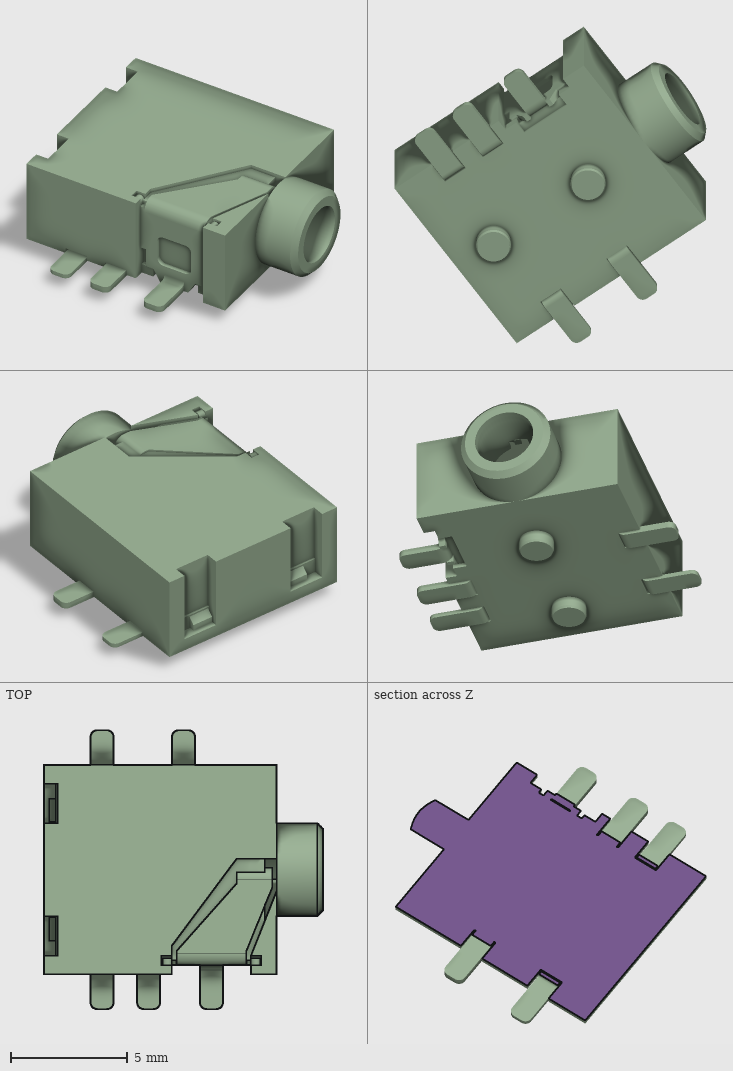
import cadquery as cq

BODY_LENGTH = 10.0
BODY_WIDTH = 9.0
BODY_HEIGHT = 4.0
TOTAL_LENGTH = 12.0
TOTAL_WIDTH = 12.0
BARREL_DIAMETER = 4.0
BARREL_CHAMFER = 0.25
BORE_DIAMETER = 2.6
BORE_END_X = 9.5
AXIS_Z = BODY_HEIGHT / 2
SIDE_Y = BODY_WIDTH / 2

PEG_DIAMETER = 1.5
PEG_LENGTH = 0.55
PEG_X = (2.0, 7.0)
PEG_CHAMFER_HEIGHT = 0.1
PEG_CHAMFER_INSET = 0.05

WINDOW_DEPTH = 0.6
WINDOW_INNER_Y = 2.0
WINDOW_WIDTH = 1.7
WINDOW_SILL_Z = 0.6
LEDGE_TOP_Z = 1.3
LEDGE_FACE_X = 0.5
WEDGE_FACE_X = 0.22
WEDGE_BOTTOM_Z = 0.65
WEDGE_SHOULDER_Z = 0.93
WEDGE_TOP_Z = 1.22
WEDGE_INNER_Y = 2.05
WEDGE_WIDTH = 1.0

TAIL_WIDTH = 1.0
TAIL_TIP_RADIUS = 0.3
TAIL_BOTTOM_Z = -0.1
THIN_SHEET = 0.2
THICK_SHEET = 0.3
TAIL_INNER_BEND = 0.1
TAIL_BEND_Y = 3.83
TAIL_LEG_TOP_Z = 0.5
SLOT_CLEARANCE = 0.05
SLOT_TOP_Z = 0.25
SLOT_END_Y = 3.5
TAILS = (
    (2.0, -1, THIN_SHEET),
    (4.0, -1, THICK_SHEET),
    (2.0, 1, THIN_SHEET),
    (5.5, 1, THICK_SHEET),
)

SPRING_X = 7.2
SPRING_FACE_Y = -4.1
SPRING_BACK_Y = SPRING_FACE_Y + THICK_SHEET
SPRING_TOP_Z = 3.9
SPRING_BEND = 0.5
RECESS_WIDTH = 3.4
BEND_WIDTH = 3.0
RECESS_LEFT = SPRING_X - RECESS_WIDTH / 2
RECESS_RIGHT = SPRING_X + RECESS_WIDTH / 2
BEND_LEFT = SPRING_X - BEND_WIDTH / 2
BEND_RIGHT = SPRING_X + BEND_WIDTH / 2
BEND_START_Z = SPRING_TOP_Z - SPRING_BEND
BEND_END_Y = SPRING_FACE_Y + SPRING_BEND

POCKET_FLOOR_Z = 3.8
POCKET_BACK_Y = 0.465
POCKET_LEFT_Y = -3.27
POCKET_CORNER_X = 8.28
POCKET_MOUTH_Y = -0.93
DEEP_SHELF_Z = 3.4

TOP_SHOULDER_Y = -3.5
TOP_LEFT_CORNER = (8.28, -0.6)
TOP_RIGHT_CORNER = (9.82, -0.75)
DROP_START_Y = -0.42

SPRING_BOTTOM_Z = 0.5
SPRING_STEP_X = 5.78
SPRING_STEP_Z = 1.4
SPRING_STEP_RADIUS = 0.1
TONGUE_TOP_WIDTH = 2.1
TONGUE_BOTTOM_WIDTH = 1.4
SPRING_TAIL_BEND = 0.2

EMBOSS_WIDTH = 1.7
EMBOSS_BOTTOM_Z = 0.85
EMBOSS_HEIGHT = 1.5
EMBOSS_RADIUS = 0.3
EMBOSS_DEPTH = 0.2

EAR_SLOT_WIDTH = 0.45
EAR_SLOT_BACK_Y = -3.7
EAR_SLOT_FLOOR_Z = 3.4
EAR_WIDTH = 0.4
EAR_TOP_Z = 3.95
RELIEF_RADIUS = 0.15
RELIEF_OFFSET = 0.05
RELIEF_DEPTH = 0.2

FOOT_FACE_Y = -4.0
FOOT_TOP_Z = 0.45
FOOT_GAP_WIDTH = 2.25
TUNNEL_TOP_Z = 0.2
TUNNEL_END_Y = -3.4


def block(x0, x1, y0, y1, z0, z1):
    """Box given by its limits along each axis."""
    return cq.Workplane("XY").box(x1 - x0, y1 - y0, z1 - z0, centered=False).translate((x0, y0, z0))


def extrude_along_x(profile, x0, x1):
    """Extrude a YZ profile from x0 to x1."""
    return profile.extrude(x1 - x0).translate((x0, 0, 0))


def extrude_along_y(profile, y0, y1):
    """Extrude an XZ profile from y0 to y1."""
    return profile.extrude(-(y1 - y0)).translate((0, y0, 0))


def housing():
    """Rectangular housing with the plug barrel and the two locating pegs."""
    body = block(0, BODY_LENGTH, -SIDE_Y, SIDE_Y, 0, BODY_HEIGHT)
    barrel = (
        cq.Workplane("YZ", origin=(BORE_END_X, 0, AXIS_Z))
        .circle(BARREL_DIAMETER / 2)
        .extrude(TOTAL_LENGTH - BORE_END_X)
        .faces(">X")
        .chamfer(BARREL_CHAMFER)
    )
    body = body.union(barrel)
    radius = PEG_DIAMETER / 2
    peg_profile = (
        cq.Workplane("XZ")
        .moveTo(0, 0)
        .lineTo(radius, 0)
        .lineTo(radius, -PEG_LENGTH + PEG_CHAMFER_HEIGHT)
        .lineTo(radius - PEG_CHAMFER_INSET, -PEG_LENGTH)
        .lineTo(0, -PEG_LENGTH)
        .close()
    )
    peg = peg_profile.revolve(360, (0, 0, 0), (0, 1, 0))
    for x in PEG_X:
        body = body.union(peg.translate((x, 0, 0)))
    return body


def bore():
    """Plug bore, open at the barrel end."""
    return (
        cq.Workplane("YZ", origin=(BORE_END_X, 0, AXIS_Z))
        .circle(BORE_DIAMETER / 2)
        .extrude(TOTAL_LENGTH - BORE_END_X)
    )


def rear_window():
    """Opening in the rear wall on the -Y side, open at the top."""
    return block(0, WINDOW_DEPTH, -WINDOW_INNER_Y - WINDOW_WIDTH, -WINDOW_INNER_Y, WINDOW_SILL_Z, BODY_HEIGHT)


def rear_contact():
    """Ledge and wedge-shaped contact end inside the rear window on the -Y side."""
    ledge = block(
        LEDGE_FACE_X, WINDOW_DEPTH,
        -WINDOW_INNER_Y - WINDOW_WIDTH, -WINDOW_INNER_Y,
        WINDOW_SILL_Z, LEDGE_TOP_Z,
    )
    wedge_profile = cq.Workplane("XZ").polyline([
        (LEDGE_FACE_X, WEDGE_BOTTOM_Z),
        (WEDGE_FACE_X, WEDGE_BOTTOM_Z),
        (WEDGE_FACE_X, WEDGE_SHOULDER_Z),
        (LEDGE_FACE_X, WEDGE_TOP_Z),
    ]).close()
    return ledge.union(extrude_along_y(wedge_profile, -WEDGE_INNER_Y - WEDGE_WIDTH, -WEDGE_INNER_Y))


def bent_tail(left_x, sheet, bend_y, inner_bend, leg_top_z):
    """Solder tail on the -Y side: flat foot, bend at bend_y and a vertical leg."""
    outer_bend = inner_bend + sheet
    foot_top_z = TAIL_BOTTOM_Z + sheet
    bend_z = foot_top_z + inner_bend
    profile = (
        cq.Workplane("YZ")
        .moveTo(-TOTAL_WIDTH / 2, TAIL_BOTTOM_Z)
        .lineTo(bend_y, TAIL_BOTTOM_Z)
        .radiusArc((bend_y + outer_bend, bend_z), -outer_bend)
        .lineTo(bend_y + outer_bend, leg_top_z)
        .lineTo(bend_y + inner_bend, leg_top_z)
        .lineTo(bend_y + inner_bend, bend_z)
        .radiusArc((bend_y, foot_top_z), inner_bend)
        .lineTo(-TOTAL_WIDTH / 2, foot_top_z)
        .close()
    )
    tail = extrude_along_x(profile, left_x, left_x + TAIL_WIDTH)
    return tail.faces("<Y").edges("|Z").fillet(TAIL_TIP_RADIUS)


def tail_slot(left_x):
    """Clearance slot around a tail in the lower edge of the -Y wall."""
    return block(
        left_x - SLOT_CLEARANCE, left_x + TAIL_WIDTH + SLOT_CLEARANCE,
        -SIDE_Y, -SLOT_END_Y, 0, SLOT_TOP_Z,
    )


def on_side(shape, side):
    """Mirror a -Y side shape to the +Y side when side is positive."""
    if side > 0:
        return shape.mirror("XZ")
    return shape


def spring_recess():
    """Everything removed from the housing to make room for the side spring."""
    recess = block(RECESS_LEFT, RECESS_RIGHT, -SIDE_Y, SPRING_BACK_Y, 0, BODY_HEIGHT)
    gap_left = SPRING_X - FOOT_GAP_WIDTH / 2
    gap_right = SPRING_X + FOOT_GAP_WIDTH / 2
    for x0, x1 in ((RECESS_LEFT, gap_left), (gap_right, RECESS_RIGHT)):
        recess = recess.cut(block(x0, x1, FOOT_FACE_Y, SPRING_BACK_Y, 0, FOOT_TOP_Z))
    tunnel = block(gap_left, gap_right, SPRING_BACK_Y, TUNNEL_END_Y, 0, TUNNEL_TOP_Z)
    recess = recess.union(tunnel)
    for x0 in (RECESS_LEFT - EAR_SLOT_WIDTH, RECESS_RIGHT):
        ear_slot = block(
            x0, x0 + EAR_SLOT_WIDTH, SPRING_FACE_Y, EAR_SLOT_BACK_Y, EAR_SLOT_FLOOR_Z, BODY_HEIGHT,
        )
        recess = recess.union(ear_slot)
    return recess


def pocket_outline(floor_z):
    """Wedge-shaped pocket in the top face, cut down to floor_z."""
    outline = cq.Workplane("XY", origin=(0, 0, floor_z)).polyline([
        (RECESS_LEFT, SPRING_BACK_Y),
        (RECESS_LEFT, POCKET_LEFT_Y),
        (POCKET_CORNER_X, POCKET_BACK_Y),
        (BODY_LENGTH, POCKET_BACK_Y),
        (BODY_LENGTH, POCKET_MOUTH_Y),
        (RECESS_RIGHT, EAR_SLOT_BACK_Y),
        (RECESS_RIGHT, SPRING_BACK_Y),
    ]).close()
    return outline.extrude(BODY_HEIGHT - floor_z)


def top_pocket():
    """Shallow pocket with a deeper step near the barrel that opens into the bore."""
    deep_zone = block(
        BORE_END_X, BODY_LENGTH, -SIDE_Y, POCKET_BACK_Y, DEEP_SHELF_Z, BODY_HEIGHT,
    )
    bore_slot = block(
        BORE_END_X, BODY_LENGTH, DROP_START_Y, POCKET_BACK_Y, AXIS_Z, BODY_HEIGHT,
    )
    deep_step = pocket_outline(DEEP_SHELF_Z).intersect(deep_zone)
    return pocket_outline(POCKET_FLOOR_Z).union(deep_step).union(bore_slot)


def spring_wall():
    """Upright sheet of the spring with its lower tongue, embossed panel and upper reliefs."""
    tongue_top = TONGUE_TOP_WIDTH / 2
    tongue_bottom = TONGUE_BOTTOM_WIDTH / 2
    bend_z = TAIL_BOTTOM_Z + THICK_SHEET + SPRING_TAIL_BEND
    outline = (
        cq.Workplane("XZ")
        .moveTo(RECESS_LEFT, POCKET_FLOOR_Z)
        .lineTo(RECESS_LEFT, SPRING_STEP_Z)
        .lineTo(SPRING_STEP_X, SPRING_STEP_Z)
        .lineTo(SPRING_STEP_X, SPRING_BOTTOM_Z + SPRING_STEP_RADIUS)
        .radiusArc((SPRING_STEP_X + SPRING_STEP_RADIUS, SPRING_BOTTOM_Z), -SPRING_STEP_RADIUS)
        .lineTo(SPRING_X - tongue_top, SPRING_BOTTOM_Z)
        .lineTo(SPRING_X - tongue_bottom, TAIL_BOTTOM_Z)
        .lineTo(SPRING_X + tongue_bottom, TAIL_BOTTOM_Z)
        .lineTo(SPRING_X + tongue_top, SPRING_BOTTOM_Z)
        .lineTo(RECESS_RIGHT, SPRING_BOTTOM_Z)
        .lineTo(RECESS_RIGHT, POCKET_FLOOR_Z)
        .close()
    )
    wall = extrude_along_y(outline, SPRING_FACE_Y, SPRING_BACK_Y)

    tail_left = SPRING_X - TAIL_WIDTH / 2
    bend_zone = block(
        tail_left, tail_left + TAIL_WIDTH, SPRING_FACE_Y, SPRING_BACK_Y, TAIL_BOTTOM_Z, bend_z,
    )
    bend_y = SPRING_FACE_Y - SPRING_TAIL_BEND
    tail = bent_tail(tail_left, THICK_SHEET, bend_y, SPRING_TAIL_BEND, SPRING_BOTTOM_Z)
    wall = wall.cut(bend_zone).union(tail)

    panel = (
        block(
            SPRING_X - EMBOSS_WIDTH / 2, SPRING_X + EMBOSS_WIDTH / 2,
            SPRING_FACE_Y, SPRING_FACE_Y + EMBOSS_DEPTH,
            EMBOSS_BOTTOM_Z, EMBOSS_BOTTOM_Z + EMBOSS_HEIGHT,
        )
        .edges("|Y")
        .fillet(EMBOSS_RADIUS)
    )
    wall = wall.cut(panel)

    for relief_x in (RECESS_LEFT + RELIEF_OFFSET, RECESS_RIGHT - RELIEF_OFFSET):
        relief = cq.Workplane("XZ").center(relief_x, POCKET_FLOOR_Z - RELIEF_OFFSET).circle(RELIEF_RADIUS)
        wall = wall.cut(extrude_along_y(relief, SPRING_FACE_Y, SPRING_FACE_Y + RELIEF_DEPTH))
    return wall.cut(block(BEND_LEFT, BEND_RIGHT, SPRING_FACE_Y, SPRING_BACK_Y, BEND_START_Z, BODY_HEIGHT))


def spring_ears():
    """Round-topped ears of the spring that sit in the housing slots."""
    radius = EAR_WIDTH / 2
    ears = cq.Workplane("XY")
    for ear_x in (RECESS_LEFT - radius, RECESS_RIGHT + radius):
        profile = (
            cq.Workplane("XZ")
            .moveTo(ear_x - radius, EAR_SLOT_FLOOR_Z)
            .lineTo(ear_x + radius, EAR_SLOT_FLOOR_Z)
            .lineTo(ear_x + radius, EAR_TOP_Z - radius)
            .threePointArc((ear_x, EAR_TOP_Z), (ear_x - radius, EAR_TOP_Z - radius))
            .close()
        )
        ears = ears.union(extrude_along_y(profile, SPRING_FACE_Y, SPRING_BACK_Y))
    return ears


def spring_top():
    """Horizontal arm of the spring, rounded over at the side and dropping towards the bore."""
    drop_end_y = DROP_START_Y + SPRING_BEND
    inner_bend = SPRING_BEND - THICK_SHEET
    inner_top_z = SPRING_TOP_Z - THICK_SHEET
    profile = (
        cq.Workplane("YZ")
        .moveTo(SPRING_FACE_Y, BEND_START_Z)
        .radiusArc((BEND_END_Y, SPRING_TOP_Z), SPRING_BEND)
        .lineTo(DROP_START_Y, SPRING_TOP_Z)
        .radiusArc((drop_end_y, BEND_START_Z), SPRING_BEND)
        .lineTo(drop_end_y - THICK_SHEET, BEND_START_Z)
        .radiusArc((DROP_START_Y, inner_top_z), -inner_bend)
        .lineTo(BEND_END_Y, inner_top_z)
        .radiusArc((SPRING_BACK_Y, BEND_START_Z), -inner_bend)
        .close()
    )
    right_x, right_y = TOP_RIGHT_CORNER
    left_x, left_y = TOP_LEFT_CORNER
    arm = extrude_along_x(profile, BEND_LEFT, right_x)
    outline = cq.Workplane("XY").polyline([
        (BEND_LEFT, SPRING_FACE_Y),
        (BEND_LEFT, TOP_SHOULDER_Y),
        (left_x, left_y),
        (left_x, drop_end_y),
        (right_x, drop_end_y),
        (right_x, right_y),
        (BEND_RIGHT, TOP_SHOULDER_Y),
        (BEND_RIGHT, SPRING_FACE_Y),
    ]).close()
    return arm.intersect(outline.extrude(BODY_HEIGHT))


def jack():
    """Housing with its contacts, tails and side spring joined into one solid."""
    part = housing().cut(spring_recess()).cut(top_pocket()).cut(bore())
    for side in (-1, 1):
        part = part.cut(on_side(rear_window(), side))
        part = part.union(on_side(rear_contact(), side))
    for left_x, side, sheet in TAILS:
        part = part.cut(on_side(tail_slot(left_x), side))
        tail = bent_tail(left_x, sheet, -TAIL_BEND_Y, TAIL_INNER_BEND, TAIL_LEG_TOP_Z)
        part = part.union(on_side(tail, side))
    return part.union(spring_wall()).union(spring_ears()).union(spring_top())


result = jack()